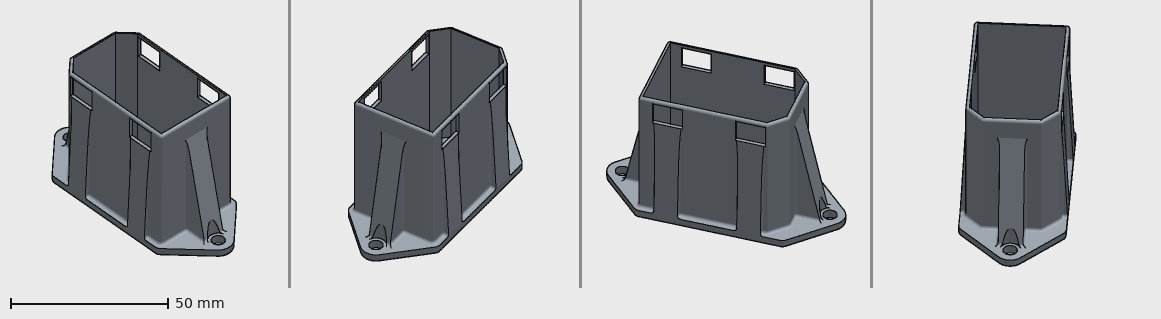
import cadquery as cq
import math

total_length = 79.55
flange_width = 34.3
flange_thickness = 3.1
flange_end_radius = 5.0
flange_corner_radius = 2.5
mount_hole_diameter = 4.5
mount_hole_x = total_length / 2 - flange_end_radius

total_height = 48.0
body_length = 49.0
body_width = 30.5
body_bevel = 5.65
wall = 1.2
edge_radius = 1.0
floor_hole_diameter = 10.0

tolerance = 0.01

rib_width = 7.95
rib_top_z = 40.7
end_rib_depth = 8.2
side_rib_depth = (flange_width - body_width) / 2
screw_clearance_radius = 3.4

window_width = rib_width + 2 * edge_radius
window_height = 7.8
window_top_z = total_height - wall
window_bottom_z = window_top_z - window_height
window_spacing = 27.75
window_middle_x = 0.8
window_centres = [window_middle_x - window_spacing / 2, window_middle_x + window_spacing / 2]


def make_flange():
    """Elongated hexagon with 45 degree sides tangent to the rounded ends."""
    half_width = flange_width / 2
    tip_x = mount_hole_x + flange_end_radius * math.sqrt(2)
    shoulder_x = tip_x - half_width
    outline = [
        (tip_x, 0),
        (shoulder_x, half_width),
        (-shoulder_x, half_width),
        (-tip_x, 0),
        (-shoulder_x, -half_width),
        (shoulder_x, -half_width),
    ]
    flange = cq.Workplane("XY").polyline(outline).close().extrude(flange_thickness)
    flange = flange.edges("|Z").edges("not (<X or >X)").fillet(flange_corner_radius)
    flange = flange.edges("|Z").edges("<X or >X").fillet(flange_end_radius)
    return flange.faces("<Z").edges().fillet(edge_radius)


def body_outline():
    """Rectangle with two bevelled corners, at the level of the flange top."""
    half_length = body_length / 2
    half_width = body_width / 2
    return (
        cq.Workplane("XY", origin=(0, 0, flange_thickness))
        .moveTo(half_length, -half_width)
        .lineTo(half_length, half_width)
        .lineTo(-half_length + body_bevel, half_width)
        .lineTo(-half_length, half_width - body_bevel)
        .lineTo(-half_length, -half_width + body_bevel)
        .lineTo(-half_length + body_bevel, -half_width)
        .close()
    )


def make_body():
    """Solid housing block with rounded upright edges and top rim."""
    body = body_outline().extrude(total_height - flange_thickness)
    return body.edges("|Z or >Z").fillet(edge_radius)


def make_rib(depth):
    """Sloped rib pointing to +X from a wall in the YZ plane.

    Its sides flare into the wall with fillets, and the sloped front trims sides and fillets together.
    """
    half_width = rib_width / 2
    root = half_width + edge_radius
    embed = wall / 2
    rise = rib_top_z - flange_thickness
    sides = (
        cq.Workplane("XY")
        .moveTo(-embed, -root)
        .lineTo(0, -root)
        .radiusArc((edge_radius, -half_width), edge_radius)
        .lineTo(depth, -half_width)
        .lineTo(depth, half_width)
        .lineTo(edge_radius, half_width)
        .radiusArc((0, root), edge_radius)
        .lineTo(-embed, root)
        .close()
        .extrude(rise)
    )
    embed_rise = rise * embed / depth
    slope = (
        cq.Workplane("XZ")
        .polyline([(-embed, 0), (depth, 0), (-embed, rise + embed_rise)])
        .close()
        .extrude(root, both=True)
    )
    return sides.intersect(slope).translate((0, 0, flange_thickness))


def add_ribs(part):
    """Add one rib to each end wall and a rib under every window."""
    z_axis = ((0, 0, 0), (0, 0, 1))
    end_rib = make_rib(end_rib_depth).translate((body_length / 2, 0, 0))
    part = part.union(end_rib).union(end_rib.rotate(*z_axis, 180))
    side_rib = make_rib(side_rib_depth).rotate(*z_axis, 90).translate((0, body_width / 2, 0))
    for x in window_centres:
        rib = side_rib.translate((x, 0, 0))
        part = part.union(rib).union(rib.mirror("XZ"))
    return part


def fillet_base(part, flange):
    """Round the corner between the flange top and everything standing on it."""
    rim = flange.faces(">Z").wires().val()

    def is_off_rim(edge):
        return cq.Vertex.makeVertex(*edge.positionAt(0.5).toTuple()).distance(rim) > tolerance

    height_band = cq.selectors.BoxSelector(
        (-total_length, -flange_width, flange_thickness - tolerance),
        (total_length, flange_width, flange_thickness + tolerance),
    )
    return part.faces(height_band).edges().filter(is_off_rim).fillet(edge_radius)


def cut_openings(part):
    """Cut the cavity, the holes and the windows."""
    part = part.cut(body_outline().offset2D(-wall).extrude(total_height))

    hole_depth = 2 * flange_thickness
    part = part.cut(cq.Workplane("XY").circle(floor_hole_diameter / 2).extrude(hole_depth))

    mount_points = [(-mount_hole_x, 0), (mount_hole_x, 0)]
    holes = cq.Workplane("XY").pushPoints(mount_points).circle(mount_hole_diameter / 2).extrude(hole_depth)
    clearance = (
        cq.Workplane("XY", origin=(0, 0, flange_thickness))
        .pushPoints(mount_points)
        .circle(screw_clearance_radius)
        .extrude(total_height)
    )
    part = part.cut(holes).cut(clearance)

    window_z = (window_bottom_z + window_top_z) / 2
    for x in window_centres:
        window = cq.Workplane("XY").box(window_width, 2 * flange_width, window_height)
        part = part.cut(window.translate((x, 0, window_z)))
    return part


flange = make_flange()
ribbed_body = add_ribs(flange.union(make_body()))
result = cut_openings(fillet_base(ribbed_body, flange))